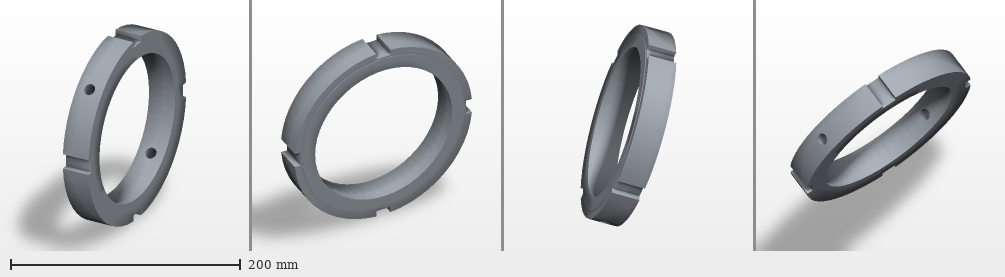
import cadquery as cq
import math

outer_diameter = 175.0
bore_diameter = 135.0
total_width = 26.0

face_diameter = 160.0
face_height = 0.5

slot_count = 4
slot_width = 14.0
slot_floor_radius = 81.5

hole_diameter = 10.11
hole_angles = (135.0, 315.0)

outer_radius = outer_diameter / 2
rim_width = total_width - face_height
rim_start = -total_width / 2 + face_height
rim_middle = rim_start + rim_width / 2


def make_ring(start, width, diameter):
    """Ring along X from the given start, with the common bore."""
    return (
        cq.Workplane("YZ", origin=(start, 0, 0))
        .circle(diameter / 2)
        .circle(bore_diameter / 2)
        .extrude(width)
    )


def make_slot(angle):
    """Cutter for one rim slot, running the full rim width and open outward."""
    slot_depth = outer_radius - slot_floor_radius
    slot = cq.Workplane("XY").box(rim_width, 2 * slot_depth, slot_width)
    slot = slot.translate((rim_middle, outer_radius, 0))
    return slot.rotate((0, 0, 0), (1, 0, 0), angle)


def make_hole(angle):
    """Cutter for one radial hole, from the part axis out to beyond the rim."""
    direction = cq.Vector(0, math.cos(math.radians(angle)), math.sin(math.radians(angle)))
    hole = cq.Solid.makeCylinder(
        hole_diameter / 2, outer_diameter, cq.Vector(0, 0, 0), direction
    )
    return cq.Workplane(obj=hole)


rim = make_ring(rim_start, rim_width, outer_diameter)
contact_face = make_ring(-total_width / 2, face_height, face_diameter)
result = rim.union(contact_face)

for index in range(slot_count):
    result = result.cut(make_slot(index * 360.0 / slot_count))

for hole_angle in hole_angles:
    result = result.cut(make_hole(hole_angle))